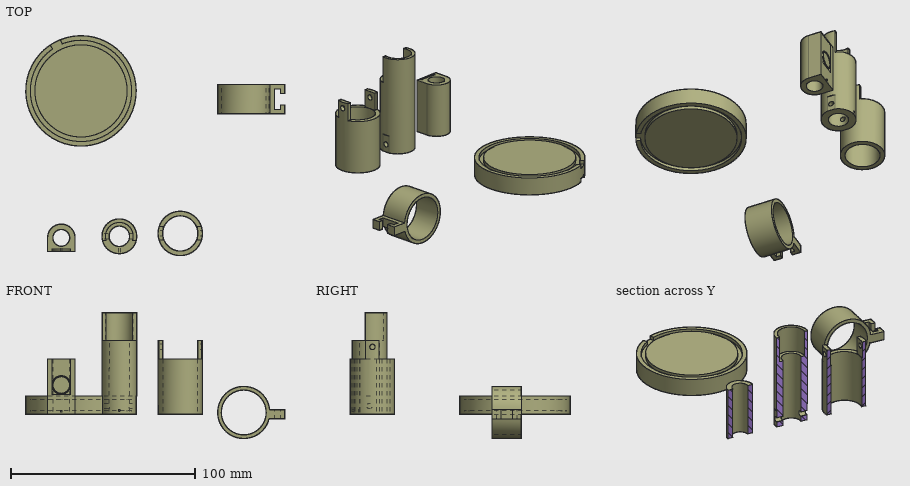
import cadquery as cq
import math

DISC_DIA = 60.0
DISC_HEIGHT = 10.0
GROOVE_INNER_DIA = 50.0
GROOVE_OUTER_DIA = 54.9
GROOVE_DEPTH = 2.0
NOTCH_ANGLE = 118.0
NOTCH_SPREAD = 12.2

BLOCK_X = -10.7
BLOCK_Y = -79.6
BLOCK_WIDTH = 15.0
BLOCK_RADIUS = BLOCK_WIDTH / 2
BLOCK_HEIGHT = 30.0
BLOCK_BORE_DIA = 9.0
BLOCK_FRONT_Y = BLOCK_Y - BLOCK_RADIUS
WINDOW_DIA = 9.0
WINDOW_Z = 15.9
WINDOW_WALL = 0.5
SLOT_WIDTH = 10.1
SLOT_THICKNESS = 1.0
SLOT_Y = BLOCK_FRONT_Y + WINDOW_WALL
SLOT_FLOOR_Z = WINDOW_Z - SLOT_WIDTH / 2
WIRE_HOLE_DIA = 1.0
BLOCK_WIRE_HOLE_Z = 1.7

PIVOT_DIA = 3.0
EAR_PIVOT_DROP = 3.5
POST_PIVOT_Z = 4.5
EAR_HEIGHT = 10.0

POST_X = 20.8
POST_Y = -78.8
POST_DIA = 19.0
POST_HEIGHT = 55.0
POST_BORE_DIA = 11.0
POST_TOP_BORE_DIA = 15.0
POST_TOP_DEPTH = 15.0
POST_LEDGE_Z = POST_HEIGHT - POST_TOP_DEPTH
POST_WALL_FRONT = 2.4
POST_FLAT_DEPTH = 0.27
POST_FLAT_X = POST_DIA / 2 - POST_FLAT_DEPTH
POST_WIRE_HOLE_Z = 2.1

SLEEVE_X = 53.8
SLEEVE_Y = -77.2
SLEEVE_DIA = 24.2
SLEEVE_BORE_DIA = POST_DIA
SLEEVE_HEIGHT = BLOCK_HEIGHT
SLEEVE_TOTAL = SLEEVE_HEIGHT + EAR_HEIGHT
EAR_WIDTH = 7.3
EAR_GAP = SLEEVE_BORE_DIA

RING_X = 88.2
RING_Y = -4.5
RING_Z = 1.0
RING_DIA = 28.4
RING_BORE_DIA = 24.2
RING_LENGTH = 16.0
RING_START_Y = RING_Y - RING_LENGTH / 2
CLIP_END_X = 140.5 - DISC_DIA / 2
CLIP_HEIGHT = 5.0
CAVITY_WIDTH = 11.0
CAVITY_DEPTH = 3.1
MOUTH_WIDTH = 6.0
LIP_DEPTH = 2.4


def upright_cylinder(dia, height, z=0):
    """Cylinder along Z on the origin axis, with its base at z."""
    return cq.Workplane("XY").workplane(offset=z).circle(dia / 2).extrude(height)


def cylinder_along_x(dia, length, z):
    """Cylinder along X through the Z axis, centred on it."""
    return cq.Workplane("YZ").center(0, z).circle(dia / 2).extrude(length / 2, both=True)


def cylinder_along_y(dia, length, start):
    """Cylinder that runs toward +Y from the start point."""
    return cq.Workplane(cq.Solid.makeCylinder(dia / 2, length, cq.Vector(*start), cq.Vector(0, 1, 0)))


def box_from(corner, size):
    """Box that grows toward +X, +Y and +Z from its corner."""
    return cq.Workplane("XY").box(*size, centered=False).translate(corner)


def make_disc():
    middle = math.radians(NOTCH_ANGLE)
    half_spread = math.radians(NOTCH_SPREAD / 2)
    sides = [
        (DISC_DIA * math.cos(angle), DISC_DIA * math.sin(angle))
        for angle in (middle - half_spread, middle + half_spread)
    ]
    notch = cq.Workplane("XY").polyline([(0, 0), *sides]).close().extrude(GROOVE_DEPTH)
    groove = upright_cylinder(GROOVE_OUTER_DIA, GROOVE_DEPTH).union(notch)
    groove = groove.cut(upright_cylinder(GROOVE_INNER_DIA, GROOVE_DEPTH))
    disc = upright_cylinder(DISC_DIA, DISC_HEIGHT)
    for groove_z in (0, DISC_HEIGHT - GROOVE_DEPTH):
        disc = disc.cut(groove.translate((0, 0, groove_z)))
    return disc


def make_block():
    block = (
        cq.Workplane("XY")
        .moveTo(BLOCK_X - BLOCK_RADIUS, BLOCK_FRONT_Y)
        .lineTo(BLOCK_X + BLOCK_RADIUS, BLOCK_FRONT_Y)
        .lineTo(BLOCK_X + BLOCK_RADIUS, BLOCK_Y)
        .threePointArc((BLOCK_X, BLOCK_Y + BLOCK_RADIUS), (BLOCK_X - BLOCK_RADIUS, BLOCK_Y))
        .close()
        .extrude(BLOCK_HEIGHT)
    )
    bore = upright_cylinder(BLOCK_BORE_DIA, BLOCK_HEIGHT).translate((BLOCK_X, BLOCK_Y, 0))
    slot = box_from(
        (BLOCK_X - SLOT_WIDTH / 2, SLOT_Y, SLOT_FLOOR_Z),
        (SLOT_WIDTH, SLOT_THICKNESS, BLOCK_HEIGHT - SLOT_FLOOR_Z),
    )
    window = cylinder_along_y(WINDOW_DIA, WINDOW_WALL, (BLOCK_X, BLOCK_FRONT_Y, WINDOW_Z))
    wire_hole = cylinder_along_y(
        WIRE_HOLE_DIA, BLOCK_RADIUS, (BLOCK_X, BLOCK_FRONT_Y, BLOCK_WIRE_HOLE_Z)
    )
    return block.cut(bore).cut(slot).cut(window).cut(wire_hole)


def make_window_disc():
    """Round plate that rests on the slot floor behind the window."""
    return cylinder_along_y(SLOT_WIDTH, SLOT_THICKNESS, (BLOCK_X, SLOT_Y, WINDOW_Z))


def make_post():
    post = upright_cylinder(POST_DIA, POST_HEIGHT)
    post = post.cut(upright_cylinder(POST_BORE_DIA, POST_HEIGHT))
    post = post.cut(upright_cylinder(POST_TOP_BORE_DIA, POST_TOP_DEPTH, POST_LEDGE_Z))

    opening = box_from(
        (-POST_DIA / 2, -POST_WALL_FRONT - POST_DIA, POST_LEDGE_Z),
        (POST_DIA, POST_DIA, POST_TOP_DEPTH),
    )
    post = post.cut(opening)

    for flat_start_x in (POST_FLAT_X, -POST_FLAT_X - POST_DIA):
        flat = box_from((flat_start_x, -POST_DIA / 2, 0), (POST_DIA, POST_DIA, EAR_HEIGHT))
        post = post.cut(flat)

    post = post.cut(cylinder_along_x(PIVOT_DIA, POST_DIA, POST_PIVOT_Z))
    wire_hole = cylinder_along_y(WIRE_HOLE_DIA, POST_DIA / 2, (0, -POST_DIA / 2, POST_WIRE_HOLE_Z))
    return post.cut(wire_hole).translate((POST_X, POST_Y, 0))


def make_sleeve():
    sleeve = upright_cylinder(SLEEVE_DIA, SLEEVE_TOTAL)
    sleeve = sleeve.cut(upright_cylinder(SLEEVE_BORE_DIA, SLEEVE_TOTAL))

    for side_y in (EAR_WIDTH / 2, -EAR_WIDTH / 2 - SLEEVE_DIA):
        side = box_from(
            (-SLEEVE_DIA / 2, side_y, SLEEVE_HEIGHT), (SLEEVE_DIA, SLEEVE_DIA, EAR_HEIGHT)
        )
        sleeve = sleeve.cut(side)
    gap = box_from((-EAR_GAP / 2, -EAR_WIDTH / 2, SLEEVE_HEIGHT), (EAR_GAP, EAR_WIDTH, EAR_HEIGHT))
    sleeve = sleeve.cut(gap)

    sleeve = sleeve.cut(cylinder_along_x(PIVOT_DIA, SLEEVE_DIA, SLEEVE_TOTAL - EAR_PIVOT_DROP))
    return sleeve.translate((SLEEVE_X, SLEEVE_Y, 0))


def make_ring():
    def clip_box(start_x, end_x, width):
        corner = (start_x, RING_Y - width / 2, -CLIP_HEIGHT / 2)
        return box_from(corner, (end_x - start_x, width, CLIP_HEIGHT))

    lip_x = CLIP_END_X - LIP_DEPTH
    clip = clip_box(RING_X, CLIP_END_X, RING_LENGTH)
    clip = clip.cut(clip_box(lip_x - CAVITY_DEPTH, lip_x, CAVITY_WIDTH))
    clip = clip.cut(clip_box(lip_x, CLIP_END_X, MOUTH_WIDTH))

    ring_start = (RING_X, RING_START_Y, RING_Z)
    ring = cylinder_along_y(RING_DIA, RING_LENGTH, ring_start).union(clip)
    return ring.cut(cylinder_along_y(RING_BORE_DIA, RING_LENGTH, ring_start))


disc = make_disc().solids()
block = make_block().solids()
window_disc = make_window_disc().solids()
post = make_post().solids()
sleeve = make_sleeve().solids()
ring = make_ring().solids()

result = cq.Compound.makeCompound(
    [disc.val(), block.val(), window_disc.val(), post.val(), sleeve.val(), ring.val()]
)